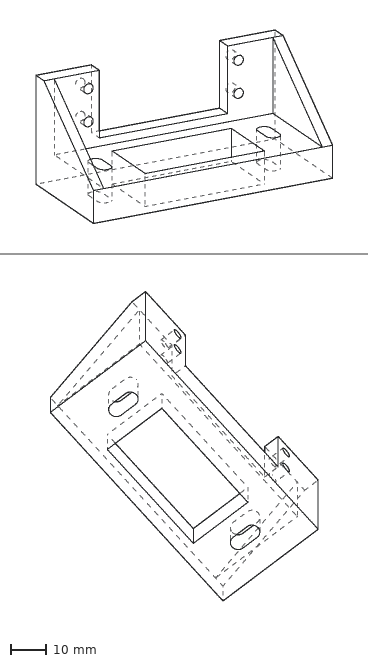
import cadquery as cq

depth = 35.0
length = 76.4
height = 33.0

base_thickness = 10.0
wall_thickness = 5.0
gusset_thickness = 3.3

notch_width = 40.95
notch_floor = 12.5

window_depth = 20.0
window_length = 38.05
window_center_x = wall_thickness * 2 + window_depth / 2

slot_length = 9.5
slot_width = 4.35
slot_center_x = depth / 2
slot_spacing = 53.9

hole_diameter = 3.0
hole_spacing_y = 48.0
hole_spacing_z = 10.0
upper_hole_z = height - wall_thickness
hole_center_z = upper_hole_z - hole_spacing_z / 2


def end_profile_body():
    """Full-length block with the sloping end profile."""
    profile = [
        (0, 0),
        (depth, 0),
        (depth, base_thickness),
        (wall_thickness, height),
        (0, height),
    ]
    return cq.Workplane("XZ").polyline(profile).close().extrude(length / 2, both=True)


def gusset_space():
    """Open space above the base, between the two gussets."""
    return cq.Workplane("XY").box(
        depth, length - 2 * gusset_thickness, height, centered=(False, True, False)
    ).translate((wall_thickness, 0, base_thickness))


def wall_notch():
    return cq.Workplane("XY").box(
        wall_thickness, notch_width, height, centered=(False, True, False)
    ).translate((0, 0, notch_floor))


def base_window():
    return cq.Workplane("XY").center(window_center_x, 0).rect(
        window_depth, window_length
    ).extrude(base_thickness)


def mounting_slots():
    return (
        cq.Workplane("XY")
        .center(slot_center_x, 0)
        .rarray(0.8, slot_spacing, 1, 2)
        .slot2D(slot_length, slot_width)
        .extrude(base_thickness)
    )


def wall_holes():
    return (
        cq.Workplane("YZ")
        .center(0, hole_center_z)
        .rarray(hole_spacing_y, hole_spacing_z, 2, 2)
        .circle(hole_diameter / 2)
        .extrude(wall_thickness)
    )


result = end_profile_body()
for cutter in (gusset_space(), wall_notch(), base_window(), mounting_slots(), wall_holes()):
    result = result.cut(cutter)